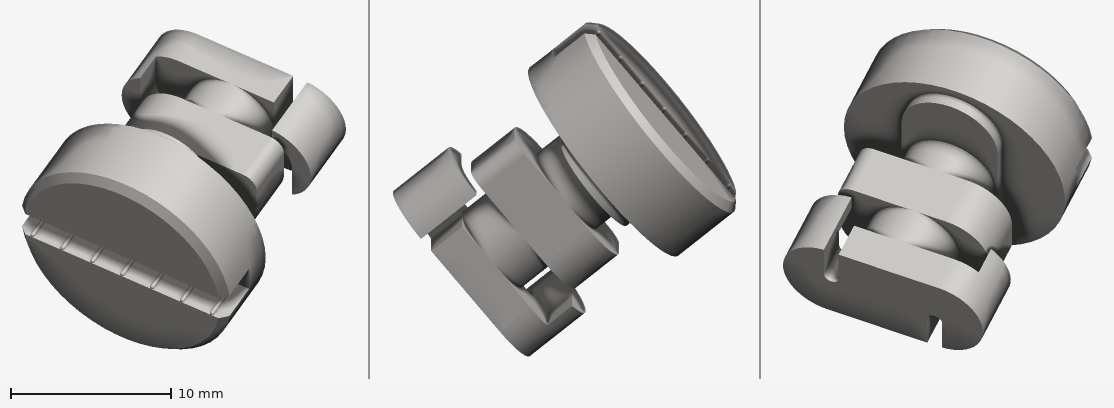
import cadquery as cq


head_end = 5.0
washer_end = 5.78
cam_start = 8.0
cam_end = 11.5
hook_start = 12.03
plate_start = 14.02
total_length = 16.5

head_diameter = 15.0
head_chamfer = 0.5
slot_width = 2.0
slot_depth = 3.0

rib_radius = 0.15
rib_pitch = 2.15
rib_count = 7
first_rib_x = -6.48

washer_width = 6.5
washer_height = 13.7

shaft_diameter = 6.0
shaft_radius = shaft_diameter / 2
cam_half_width = 5.16
cam_flat_end = 2.0
cam_corner_radius = 1.0

plate_width = 13.56
hook_inner_x = 4.01
hook_wall_x = 5.45
pocket_radius = 2.0
notch_width = 1.0
notch_center_z = 0.5


def section_at(y):
    """Sketch plane across the axis: local x is X, local y is Z, a negative extrusion runs along +Y."""
    return cq.Workplane(cq.Plane(origin=(0, y, 0), xDir=(1, 0, 0), normal=(0, -1, 0)))


def cylinder(diameter, start, end):
    return section_at(start).circle(diameter / 2).extrude(start - end)


def half_turn(body):
    """Copy of a body turned 180 degrees about the axis of the part."""
    return body.rotate((0, 0, 0), (0, 1, 0), 180)


def make_head():
    head = cylinder(head_diameter, 0, head_end).faces("<Y").chamfer(head_chamfer)
    slot = cq.Workplane("XY").box(head_diameter, 2 * slot_depth, slot_width)
    return head.cut(slot)


def make_rib(x, z):
    """Round rib half sunk in the slot wall, with a domed front end."""
    bar = section_at(rib_radius).center(x, z).circle(rib_radius).extrude(rib_radius - slot_depth)
    dome = cq.Workplane("XY").sphere(rib_radius).translate((x, rib_radius, z))
    return bar.union(dome)


def add_ribs(head):
    for index in range(rib_count):
        x = first_rib_x + index * rib_pitch
        for z in (-slot_width / 2, slot_width / 2):
            head = head.union(make_rib(x, z))
    return head


def make_washer():
    return section_at(head_end).slot2D(washer_height, washer_width, 90).extrude(head_end - washer_end)


def make_cam():
    """Two-lobed cam: each lobe has one full round corner and one small one."""
    round_center_x = cam_half_width - shaft_radius
    small_center_x = cam_half_width - cam_corner_radius
    outline = (
        section_at(cam_start)
        .moveTo(-round_center_x, shaft_radius)
        .lineTo(small_center_x, shaft_radius)
        .radiusArc((cam_half_width, cam_flat_end), cam_corner_radius)
        .lineTo(cam_half_width, 0)
        .radiusArc((round_center_x, -shaft_radius), shaft_radius)
        .lineTo(-small_center_x, -shaft_radius)
        .radiusArc((-cam_half_width, -cam_flat_end), cam_corner_radius)
        .lineTo(-cam_half_width, 0)
        .radiusArc((-round_center_x, shaft_radius), shaft_radius)
        .close()
    )
    return outline.extrude(cam_start - cam_end)


def round_bottomed_slot(center_x, center_z, radius, start, end):
    """Cutter for a slot along the axis, open upwards, with a round floor."""
    depth = shaft_radius - center_z
    floor = section_at(start).center(center_x, center_z).circle(radius).extrude(start - end)
    opening = section_at(start).center(center_x, center_z + depth / 2).rect(2 * radius, depth)
    return floor.union(opening.extrude(start - end))


def make_locking_plate():
    plate = section_at(hook_start).slot2D(plate_width, shaft_diameter).extrude(hook_start - total_length)

    gap = section_at(hook_start).rect(2 * hook_inner_x, shaft_diameter).extrude(hook_start - plate_start)
    plate = plate.cut(gap)

    pocket_x = pocket_radius - hook_wall_x
    pocket = round_bottomed_slot(pocket_x, 0, pocket_radius, hook_start, plate_start)

    notch_radius = notch_width / 2
    notch_x = hook_inner_x - notch_radius
    notch = round_bottomed_slot(notch_x, notch_center_z, notch_radius, plate_start, total_length)

    for cutter in (pocket, notch):
        plate = plate.cut(cutter).cut(half_turn(cutter))
    return plate


shaft = cylinder(shaft_diameter, head_end, plate_start)

result = (
    add_ribs(make_head())
    .union(make_washer())
    .union(shaft)
    .union(make_cam())
    .union(make_locking_plate())
)